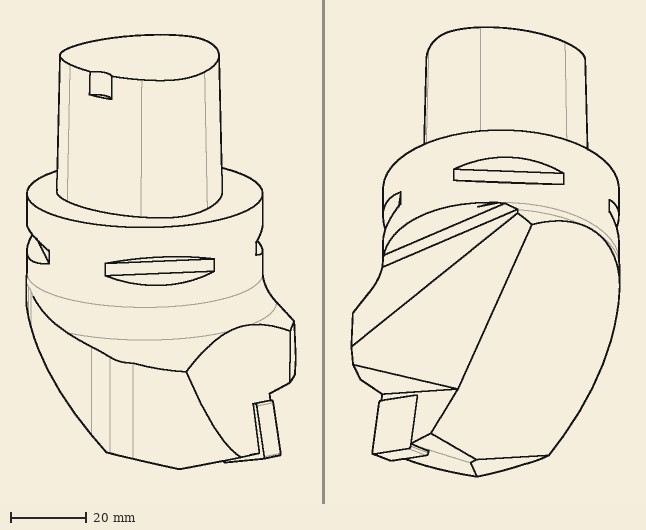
import cadquery as cq
import math


shank_length = 38.0
shank_bottom_radius = 22.1
shank_top_radius = 21.2
lobe_height = 1.5
flat_centers = (30, 150, 270)
lobe_spacing = 120
flat_half_angle = 23
spans_per_curve = 6
notch_radius = 4.8
notch_center_y = -22.7
notch_depth = 6.4

flange_radius = 63 / 2
flange_height = 22.2
slot_z = -12.3
slot_floor_distance = 27.9
slot_floor_height = 3.4
slot_mouth_height = 7.9
slot_angles = (45, 135, 225, 315)

neck_end_radius = 35.1
neck_end_z = -30.2
neck_rise = -flange_height - neck_end_z
neck_angle = 2 * math.atan((neck_end_radius - flange_radius) / neck_rise)
neck_arc_radius = neck_rise / math.sin(neck_angle)

head_bottom_z = -67.6
head_back_y = 20.9
head_front_y = -36.3
head_right_x = 49.1
head_wall_radius = 31.7
back_step_rim_z = -21.6
back_step_inner = (23.2, -22.5)
back_step_corner_z = -24.3

wall_flat_start = (-21.1, -23.6)
wall_flat_end = (-19.0, -25.4)
front_flat_left = (9.3, head_front_y)
front_flat_right = (15.5, head_front_y)
nose_start = (21.7, -34.4)
nose_middle = (34.4, -26.0)
nose_end = (42.7, -8.0)

underside_start = (-31.7, 0, -24.2)
underside_end = (22.8, 0, head_bottom_z)
back_slope_top = (-25.4, 18.0, -28.6)
back_slope_right = (34.7, head_back_y, -44.7)
pocket_corner = (11.8, 3.8, -58.8)
pocket_right = (40.6, 1.9, -48.9)
pocket_back = (29.2, 14.2, -51.5)
side_top = (33.4, -14.8, -30.2)
side_front = (34.0, -25.7, -37.9)
side_bottom = (42.2, -9.6, -63.0)
back_corner_top = (34.0, 20.6, -28.9)
back_corner_bottom = (38.5, 14.2, -48.3)
clearance_ridge = (32.5, -28.0, -64.3)
clearance_right = (42.2, -10.2, -63.0)
clearance_inner = (29.2, 0, -67.9)
heel_left = (12.8, head_front_y, -60.7)
heel_inner = (22.8, -16.4, head_bottom_z)

insert_tip = (45.2, 0.3, -64.9)
insert_upper_corner = (40.9, 1.9, -49.9)
insert_lower_corner = (31.2, 1.3, -68.7)
insert_side = 14.9
insert_thickness = 6.6
insert_nose_radius = 0.6

block = 213.5
RIGHT = (1, 0, 0)
BACK = (0, 1, 0)
DOWN = (0, 0, -1)


def plane_through(origin, second, third, outside):
    """Plane through three points, its normal turned toward the direction `outside`."""
    start = cq.Vector(*origin)
    along = cq.Vector(*second) - start
    normal = along.cross(cq.Vector(*third) - start)
    if normal.dot(cq.Vector(*outside)) < 0:
        normal = normal * -1
    return cq.Plane(origin=origin, xDir=along.toTuple(), normal=normal.toTuple())


def beyond(plane):
    """Block that fills the space on the normal side of a plane."""
    return cq.Workplane(plane).rect(2 * block, 2 * block).extrude(block)


def lobed_point(mean_radius, angle):
    """Point of a constant-width three-lobed curve with one lobe toward +Y."""
    support = mean_radius - lobe_height * math.sin(3 * angle)
    slope = -3 * lobe_height * math.cos(3 * angle)
    x = support * math.cos(angle) - slope * math.sin(angle)
    y = support * math.sin(angle) + slope * math.cos(angle)
    return x, y


def lobed_curve(sketch, mean_radius, start, end):
    """Add the stretch of the lobed curve between two angles in degrees."""
    step = (end - start) / spans_per_curve
    angles = [math.radians(start + i * step) for i in range(spans_per_curve + 1)]
    tangents = [(-math.sin(angle), math.cos(angle)) for angle in (angles[0], angles[-1])]
    points = [lobed_point(mean_radius, angle) for angle in angles]
    return sketch.spline(points[1:], tangents=tangents, includeCurrent=True)


def lobed_outline(sketch, mean_radius):
    """Closed lobed section made of three flat and three lobe stretches."""
    first_angle = flat_centers[0] - flat_half_angle
    sketch = sketch.moveTo(*lobed_point(mean_radius, math.radians(first_angle)))
    for center in flat_centers:
        flat_end = center + flat_half_angle
        sketch = lobed_curve(sketch, mean_radius, center - flat_half_angle, flat_end)
        sketch = lobed_curve(sketch, mean_radius, flat_end, center + lobe_spacing - flat_half_angle)
    return sketch.close()


def make_shank():
    bottom = lobed_outline(cq.Workplane("XY"), shank_bottom_radius)
    top = lobed_outline(bottom.workplane(offset=shank_length), shank_top_radius)
    shank = top.loft(ruled=True)
    notch = (
        cq.Workplane("XY", origin=(0, notch_center_y, shank_length - notch_depth))
        .circle(notch_radius).extrude(notch_depth)
    )
    return shank.cut(notch)


def gripper_slot(angle):
    """Straight slot with sloping sides, cut across the flange rim."""
    depth = flange_radius - slot_floor_distance
    slope = (slot_mouth_height - slot_floor_height) / 2 / depth
    reach = 2 * depth
    inner = slot_floor_height / 2
    outer = inner + slope * reach
    return (
        cq.Workplane("XZ", origin=(slot_floor_distance, 0, slot_z))
        .polyline([(0, -inner), (reach, -outer), (reach, outer), (0, inner)]).close()
        .extrude(flange_radius, both=True)
        .rotate((0, 0, 0), (0, 0, 1), angle)
    )


def make_flange():
    flange = cq.Workplane("XY").circle(flange_radius).extrude(-flange_height)
    for angle in slot_angles:
        flange = flange.cut(gripper_slot(angle))
    return flange


def make_neck_envelope():
    """Solid of revolution that limits the top of the head."""
    half_angle = neck_angle / 2
    arc_middle = (
        flange_radius + neck_arc_radius * (1 - math.cos(half_angle)),
        -flange_height - neck_arc_radius * math.sin(half_angle),
    )
    cone_radius = 2 * flange_radius
    cone_z = neck_end_z - (cone_radius - neck_end_radius) / math.tan(neck_angle)
    return (
        cq.Workplane("XZ")
        .moveTo(0, -flange_height).lineTo(flange_radius, -flange_height)
        .threePointArc(arc_middle, (neck_end_radius, neck_end_z))
        .lineTo(cone_radius, cone_z).lineTo(cone_radius, -block).lineTo(0, -block)
        .close().revolve(360, (0, 0), (0, 1))
    )


def make_head():
    outline = (
        cq.Workplane("XY", origin=(0, 0, head_bottom_z))
        .moveTo(0, head_wall_radius)
        .threePointArc((-head_wall_radius, 0), wall_flat_start)
        .lineTo(*wall_flat_end)
        .tangentArcPoint(front_flat_left, relative=False)
        .lineTo(*front_flat_right)
        .tangentArcPoint(nose_start, relative=False)
        .threePointArc(nose_middle, nose_end)
        .lineTo(head_right_x, head_wall_radius)
        .close()
    )
    head = outline.extrude(-flange_height - head_bottom_z)
    head = head.intersect(make_neck_envelope())
    for plane in (
        plane_through(side_front, side_bottom, side_top, RIGHT),
        plane_through(back_slope_right, back_corner_bottom, back_corner_top, RIGHT),
        plane_through(clearance_inner, clearance_right, clearance_ridge, DOWN),
        plane_through(heel_inner, heel_left, clearance_ridge, DOWN),
    ):
        head = head.cut(beyond(plane))
    return head.cut(make_chip_pocket())


def make_back_step():
    """Space behind the head's flat back wall, up to the dipping step under the flange."""
    return (
        cq.Workplane("YZ", origin=(-block / 2, 0, 0))
        .moveTo(head_wall_radius, back_step_rim_z).lineTo(*back_step_inner)
        .lineTo(head_back_y, back_step_corner_z)
        .lineTo(head_back_y, -block).lineTo(head_wall_radius, -block)
        .close().extrude(block)
    )


def make_chip_pocket():
    """Space behind the rake face, below the back slope and the pocket roof."""
    back_slope = plane_through(back_slope_top, pocket_corner, back_slope_right, BACK)
    roof = plane_through(pocket_corner, pocket_right, pocket_back, DOWN)
    return beyond(rake_plane).intersect(beyond(back_slope).union(beyond(roof)))


def make_insert():
    return (
        cq.Workplane(rake_plane)
        .rect(insert_side, insert_side, centered=False).extrude(-insert_thickness)
        .edges(cq.selectors.ParallelDirSelector(rake_plane.zDir)).fillet(insert_nose_radius)
    )


rake_plane = plane_through(insert_tip, insert_lower_corner, insert_upper_corner, BACK)
underside_point = (underside_end[0], block, underside_end[2])
underside = beyond(plane_through(underside_start, underside_end, underside_point, DOWN))

insert = make_insert()
holder = make_shank().union(make_flange()).union(make_head())
holder = holder.cut(make_back_step()).cut(underside).cut(insert)

result = cq.Compound.makeCompound([holder.val(), insert.val()])